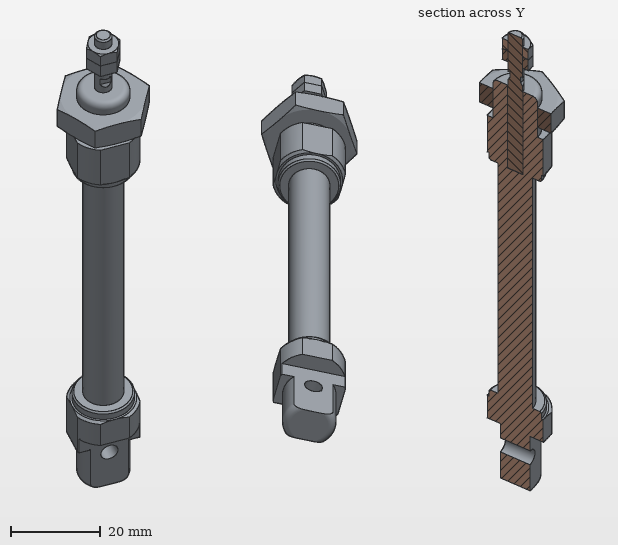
import cadquery as cq
import math

TOTAL_LENGTH = 136.0

ROD_DIAMETER = 4.0
ROD_TIP_CHAMFER = 0.4
ROD_FLAT_WIDTH = 3.0
ROD_FLAT_TOP_Z = 124.0
ROD_FLAT_BOTTOM_Z = 122.4
ROD_RAMP_LENGTH = 0.8

HEX_SIDES = 6

ROD_NUT_WIDTH = 7.0
ROD_NUT_HEIGHT = 3.3
ROD_NUT_COUNT = 2
ROD_NUTS_TOP_Z = 133.4
ROD_NUT_CHAMFER_HEIGHT = 0.4

MOUNT_NUT_WIDTH = 19.0
MOUNT_NUT_HEIGHT = 6.0
MOUNT_NUT_BOTTOM_Z = 111.0
MOUNT_NUT_CHAMFER_HEIGHT = 0.4

TUBE_DIAMETER = 9.2
NECK_DIAMETER = 12.0
NECK_TOP_Z = 120.0
NECK_FILLET = 1.5
CAP_DIAMETER = 16.5
CAP_WIDTH = 15.0
CAP_CHAMFER_HEIGHT = 0.4
RIM_DIAMETER = 14.0
RIM_HEIGHT = 2.0
RIM_CHAMFER = 0.4
FRONT_CAP_TOP_Z = 108.1
FRONT_CAP_BOTTOM_Z = 97.0
REAR_CAP_TOP_Z = 23.4
REAR_CAP_BOTTOM_Z = 12.2

LUG_THICKNESS = 7.9
LUG_SHOULDER_Z = 16.5
LUG_END_FILLET = 1.6
LUG_HOLE_DIAMETER = 4.1
LUG_HOLE_Z = 10.0

FRONT_RIM_BOTTOM_Z = FRONT_CAP_BOTTOM_Z - RIM_HEIGHT
REAR_RIM_TOP_Z = REAR_CAP_TOP_Z + RIM_HEIGHT
ROD_BOTTOM_Z = FRONT_RIM_BOTTOM_Z


def cylinder(diameter, bottom_z, top_z):
    """Cylinder on the Z axis between two heights."""
    return cq.Workplane("XY").workplane(offset=bottom_z).circle(diameter / 2).extrude(top_z - bottom_z)


def block(size_x, size_y, bottom_z, top_z):
    """Box centred on the Z axis between two heights."""
    return cq.Workplane("XY").workplane(offset=bottom_z).rect(size_x, size_y).extrude(top_z - bottom_z)


def make_nut(width, height, bottom_z, bore, chamfer_height, chamfered_ends):
    """Hex nut with corners on the Y axis and conically chamfered corners at the named ends."""
    corner_diameter = width / math.cos(math.pi / HEX_SIDES)
    corner_cut = (corner_diameter - width) / 2
    nut = (
        cq.Workplane("XY")
        .workplane(offset=bottom_z)
        .transformed(rotate=(0, 0, 90))
        .polygon(HEX_SIDES, corner_diameter)
        .extrude(height)
    )
    envelope = cylinder(corner_diameter, bottom_z, bottom_z + height)
    for end in chamfered_ends:
        envelope = envelope.faces(end).chamfer(chamfer_height, corner_cut)
    return nut.intersect(envelope).cut(cylinder(bore, bottom_z, bottom_z + height))


def make_cap(bottom_z, top_z, rim_end):
    """Round cap with four flats, facing X and Y, and chamfered corners on the end beside its rim."""
    corner_cut = (CAP_DIAMETER - CAP_WIDTH) / 2
    cap = cylinder(CAP_DIAMETER, bottom_z, top_z).faces(rim_end).chamfer(CAP_CHAMFER_HEIGHT, corner_cut)
    return cap.intersect(block(CAP_WIDTH, CAP_WIDTH, bottom_z, top_z))


def make_lug():
    """Rounded end of the housing, before its sides are flattened."""
    return cylinder(NECK_DIAMETER, 0, REAR_CAP_BOTTOM_Z).faces("<Z").edges().fillet(LUG_END_FILLET)


def make_housing():
    """Tube with front cap, rounded neck, rear cap and flattened lug, bored for the rod."""
    tube = cylinder(TUBE_DIAMETER, REAR_RIM_TOP_Z, FRONT_RIM_BOTTOM_Z)
    front_rim = cylinder(RIM_DIAMETER, FRONT_RIM_BOTTOM_Z, FRONT_CAP_BOTTOM_Z)
    front_rim = front_rim.faces("<Z").edges().chamfer(RIM_CHAMFER)
    front_cap = make_cap(FRONT_CAP_BOTTOM_Z, FRONT_CAP_TOP_Z, "<Z")
    neck = cylinder(NECK_DIAMETER, FRONT_CAP_TOP_Z, NECK_TOP_Z).faces(">Z").edges().fillet(NECK_FILLET)
    rear_rim = cylinder(RIM_DIAMETER, REAR_CAP_TOP_Z, REAR_RIM_TOP_Z)
    rear_rim = rear_rim.faces(">Z").edges().chamfer(RIM_CHAMFER)

    rear_end = make_cap(REAR_CAP_BOTTOM_Z, REAR_CAP_TOP_Z, ">Z").union(make_lug())
    kept = block(LUG_THICKNESS, CAP_DIAMETER, 0, LUG_SHOULDER_Z)
    kept = kept.union(block(CAP_DIAMETER, CAP_DIAMETER, LUG_SHOULDER_Z, REAR_CAP_TOP_Z))
    lug_hole = (
        cq.Workplane("YZ")
        .center(0, LUG_HOLE_Z)
        .circle(LUG_HOLE_DIAMETER / 2)
        .extrude(LUG_THICKNESS / 2, both=True)
    )
    rear_end = rear_end.intersect(kept).cut(lug_hole)

    housing = tube
    for section in (front_rim, front_cap, neck, rear_rim, rear_end):
        housing = housing.union(section)
    return housing.cut(cylinder(ROD_DIAMETER, ROD_BOTTOM_Z, NECK_TOP_Z))


def make_rod():
    """Piston rod with a chamfered tip and two wrench flats that ramp out at the bottom."""
    rod = cylinder(ROD_DIAMETER, ROD_BOTTOM_Z, TOTAL_LENGTH).faces(">Z").edges().chamfer(ROD_TIP_CHAMFER)
    rod_radius = ROD_DIAMETER / 2
    flat_x = ROD_FLAT_WIDTH / 2
    notch = (
        cq.Workplane("XZ")
        .polyline([
            (flat_x, ROD_FLAT_TOP_Z),
            (rod_radius, ROD_FLAT_TOP_Z),
            (rod_radius, ROD_FLAT_BOTTOM_Z - ROD_RAMP_LENGTH),
            (flat_x, ROD_FLAT_BOTTOM_Z),
        ])
        .close()
        .extrude(rod_radius, both=True)
    )
    return rod.cut(notch).cut(notch.mirror("YZ"))


def make_rod_nuts():
    """Nuts stacked downwards on the rod; only the outer face of the top nut is chamfered."""
    nuts = []
    for index in range(ROD_NUT_COUNT):
        bottom_z = ROD_NUTS_TOP_Z - (index + 1) * ROD_NUT_HEIGHT
        chamfered_ends = [">Z"] if index == 0 else []
        nut = make_nut(
            ROD_NUT_WIDTH,
            ROD_NUT_HEIGHT,
            bottom_z,
            ROD_DIAMETER,
            ROD_NUT_CHAMFER_HEIGHT,
            chamfered_ends,
        )
        nuts.append(nut)
    return nuts


housing = make_housing()
rod = make_rod()
mount_nut = make_nut(
    MOUNT_NUT_WIDTH,
    MOUNT_NUT_HEIGHT,
    MOUNT_NUT_BOTTOM_Z,
    NECK_DIAMETER,
    MOUNT_NUT_CHAMFER_HEIGHT,
    [">Z", "<Z"],
)
rod_nuts = make_rod_nuts()

result = cq.Compound.makeCompound([
    housing.val(),
    rod.val(),
    mount_nut.val(),
    *[nut.val() for nut in rod_nuts],
])